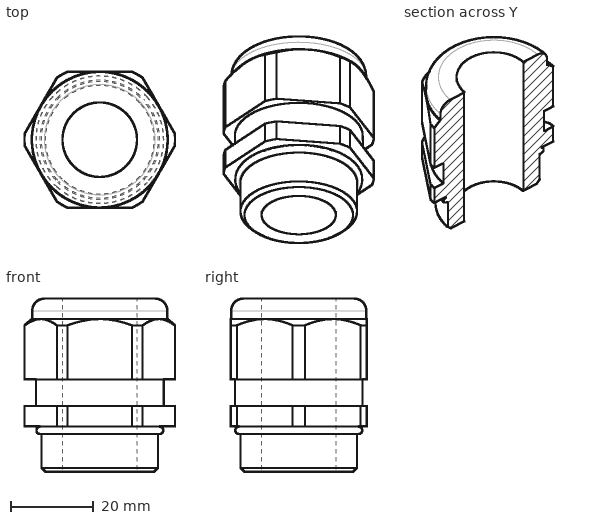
import math

import cadquery as cq


STEM_CHAMFER = 1.0
FLANGE_BOTTOM = 11.0
FLANGE_TOP = 16.0
NUT_BOTTOM = 22.4
NUT_CORNER_TOP = 35.5
NUT_TOP = 37.0
OVERALL_HEIGHT = 42.0

BORE_DIAMETER = 18.0
STEM_DIAMETER = 28.3
NECK_DIAMETER = 31.0
CAP_DIAMETER = 32.8
CAP_FILLET = 3.0
SEAL_DIAMETER = 30.8
SEAL_CORD_DIAMETER = 1.85
SEAL_EMBEDMENT = 1.0

ACROSS_FLATS = 33.0
ACROSS_CORNERS = 36.5
SHARP_HEXAGON_DIAMETER = ACROSS_FLATS / math.cos(math.radians(30))
NUT_CONE_TOP_DIAMETER = ACROSS_FLATS


def cylinder(diameter, bottom, top):
    return cq.Workplane("XY").workplane(offset=bottom).circle(diameter / 2).extrude(top - bottom)


def rounded_hexagon(bottom, top):
    """Hexagonal prism with flats facing +Y and -Y and cylindrical corners."""
    prism = (
        cq.Workplane("XY")
        .workplane(offset=bottom)
        .polygon(6, SHARP_HEXAGON_DIAMETER)
        .extrude(top - bottom)
    )
    return prism.intersect(cylinder(ACROSS_CORNERS, bottom, top))


def threaded_stem():
    """Plain thread envelope with a chamfered end, reaching up to the flange."""
    return cylinder(STEM_DIAMETER, 0, FLANGE_BOTTOM).faces("<Z").edges().chamfer(STEM_CHAMFER)


def seal_ring():
    """Sealing ring with a half-round rim, seated on the stem against the underside of the flange."""
    cord_radius = SEAL_CORD_DIAMETER / 2
    seal_radius = SEAL_DIAMETER / 2
    centre_radius = seal_radius - cord_radius
    inner_radius = STEM_DIAMETER / 2 - SEAL_EMBEDMENT
    seal_bottom = FLANGE_BOTTOM - SEAL_CORD_DIAMETER
    return (
        cq.Workplane("XZ")
        .moveTo(inner_radius, seal_bottom)
        .lineTo(centre_radius, seal_bottom)
        .threePointArc((seal_radius, seal_bottom + cord_radius), (centre_radius, FLANGE_BOTTOM))
        .lineTo(inner_radius, FLANGE_BOTTOM)
        .close()
        .revolve(360, (0, 0, 0), (0, 1, 0))
    )


def cap_nut():
    """Hexagonal nut whose upper corners are turned to a cone."""
    envelope = (
        cq.Workplane("XZ")
        .moveTo(0, NUT_BOTTOM)
        .lineTo(ACROSS_CORNERS / 2, NUT_BOTTOM)
        .lineTo(ACROSS_CORNERS / 2, NUT_CORNER_TOP)
        .lineTo(NUT_CONE_TOP_DIAMETER / 2, NUT_TOP)
        .lineTo(0, NUT_TOP)
        .close()
        .revolve(360, (0, 0, 0), (0, 1, 0))
    )
    return rounded_hexagon(NUT_BOTTOM, NUT_TOP).intersect(envelope)


def cap_dome():
    """Round collar above the nut with a rounded upper rim."""
    return cylinder(CAP_DIAMETER, NUT_TOP, OVERALL_HEIGHT).faces(">Z").edges().fillet(CAP_FILLET)


flange = rounded_hexagon(FLANGE_BOTTOM, FLANGE_TOP)
neck = cylinder(NECK_DIAMETER, FLANGE_TOP, NUT_BOTTOM)
bore = cylinder(BORE_DIAMETER, 0, OVERALL_HEIGHT)

body = (
    threaded_stem()
    .union(flange)
    .union(seal_ring())
    .union(neck)
    .union(cap_nut())
    .union(cap_dome())
)
result = body.cut(bore)